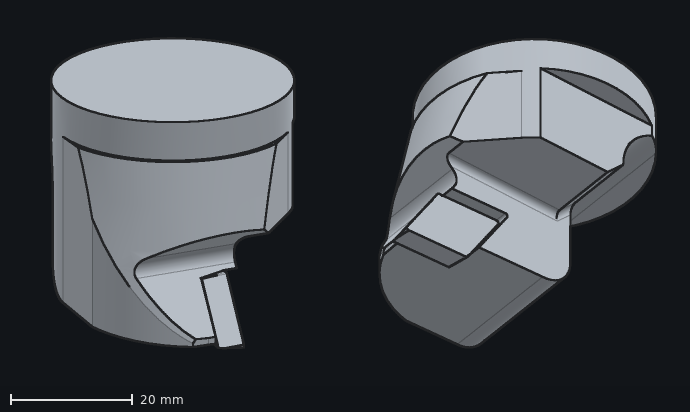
import cadquery as cq
import math

disc_diameter = 40.0
disc_radius = disc_diameter / 2
neck_top_z = -6.7
disc_rim_z = -6.25
disc_left_z = -7.6

wall_x = -5.7
back_y = 16.15
undercut_radius = 10.0
heel_radius = 5.85
bottom_z = -35.75
relief_angle = 3.0
bottom_slope = math.tan(math.radians(relief_angle))
reach = 32.8

cone_top_radius = 20.75
cone_slope = 0.19

flat_end_x = 10.95
nose_mid = (19.5, -15.7)
nose_end = (25.05, -8.45)
nose_side_x = 25.1
nose_side_y = -5.62

step_y = 2.35
step_z = -21.0
step_fillet = 1.25
step_wall_z = -17.7
step_bevel_width = 3.3
notch_diameter = 5.25
notch_radius = notch_diameter / 2
notch_x = 20.9
notch_z = -24.55
notch_upper_angle = 42.0
notch_lower_angle = -57.0

insert_side = 13.12
insert_angle = 55.0
insert_corner_radius = 0.4
insert_thickness = 4.35
insert_clearance = 7.0
insert_right_x = 46.85 - disc_radius
insert_bottom_z = -38.0


def polar(origin, distance, degrees):
    """Point at a distance and direction from an origin."""
    angle = math.radians(degrees)
    return (origin[0] + distance * math.cos(angle), origin[1] + distance * math.sin(angle))


def along_y(outline, y_start, y_end):
    """Extrude a closed XZ outline between two Y positions."""
    return outline.extrude(y_start - y_end).translate((0, y_start, 0))


def make_envelope():
    """Disc cylinder plus the nose, whose flats are tangent to the disc."""
    depth = -insert_bottom_z
    cylinder = cq.Workplane("XY").circle(disc_radius).extrude(-depth)
    diagonal = disc_radius * math.sqrt(2)
    tangent_point = disc_radius / math.sqrt(2)
    nose = (
        cq.Workplane("XY").workplane(offset=neck_top_z)
        .moveTo(0, 0)
        .lineTo(0, -disc_radius)
        .lineTo(flat_end_x, -disc_radius)
        .threePointArc(nose_mid, nose_end)
        .lineTo(nose_side_x, nose_side_y)
        .lineTo(nose_side_x, diagonal - nose_side_x)
        .lineTo(tangent_point, tangent_point)
        .close()
        .extrude(-(depth + neck_top_z))
    )
    cone_height = depth + neck_top_z
    cone = (
        cq.Workplane("XZ")
        .moveTo(0, neck_top_z)
        .lineTo(cone_top_radius, neck_top_z)
        .lineTo(cone_top_radius + cone_slope * cone_height, -depth)
        .lineTo(0, -depth)
        .close()
        .revolve(360, (0, 0), (0, 1))
    )
    return cylinder.union(nose.intersect(cone))


def make_side_profile():
    """Slab that carries the disc, the undercut, the heel and the sloped bottom."""
    sweep_x = wall_x - undercut_radius
    sweep_z = disc_left_z - undercut_radius
    heel_x = wall_x + heel_radius
    heel_z = bottom_z + heel_radius
    outline = (
        cq.Workplane("XZ")
        .moveTo(-reach, 0)
        .lineTo(-reach, disc_left_z)
        .lineTo(sweep_x, disc_left_z)
        .threePointArc(polar((sweep_x, sweep_z), undercut_radius, 45), (wall_x, sweep_z))
        .lineTo(wall_x, heel_z)
        .threePointArc(polar((heel_x, heel_z), heel_radius, 225), (heel_x, bottom_z))
        .lineTo(reach, bottom_z - bottom_slope * (reach - heel_x))
        .lineTo(reach, 0)
        .close()
    )
    return along_y(outline, -reach, reach)


def make_back_cut():
    """Space behind the back wall, below the disc rim."""
    return cq.Workplane("XY").box(2 * reach, reach, 2 * reach, centered=(True, False, False)).translate(
        (0, back_y, disc_rim_z - 2 * reach)
    )


def make_step_cut():
    """Gullet step with a bevelled edge on the left wall and a rounded inner corner."""
    outline = (
        cq.Workplane("XZ")
        .moveTo(-reach, -2 * reach)
        .lineTo(-reach, step_wall_z)
        .lineTo(wall_x, step_wall_z)
        .lineTo(wall_x + step_bevel_width, step_z)
        .lineTo(reach, step_z)
        .lineTo(reach, -2 * reach)
        .close()
    )
    ceiling_edges = cq.selectors.BoxSelector(
        (-2 * reach, step_y - 0.45, step_z - 0.45), (2 * reach, step_y + 0.45, step_wall_z + 0.45)
    )
    return along_y(outline, step_y, reach).edges(ceiling_edges).fillet(step_fillet)


def make_notch_cut():
    """Round-bottomed notch that opens toward +X through the whole nose."""
    centre = (notch_x, notch_z)
    upper = polar(centre, notch_radius, notch_upper_angle + 90)
    lower = polar(centre, notch_radius, notch_lower_angle - 90)
    outline = (
        cq.Workplane("XZ")
        .moveTo(*polar(upper, reach, notch_upper_angle))
        .lineTo(*upper)
        .threePointArc(polar(centre, notch_radius, 180), lower)
        .lineTo(*polar(lower, reach, notch_lower_angle))
        .close()
    )
    return along_y(outline, -reach, reach)


def insert_outline():
    """Rounded rhombus whose rounded tip reaches the right and bottom limits."""
    bottom_direction = 180 - relief_angle
    side_direction = bottom_direction - insert_angle
    bisector = bottom_direction - insert_angle / 2
    tip_centre = (insert_right_x - insert_corner_radius, insert_bottom_z + insert_corner_radius)
    tip_offset = insert_corner_radius / math.sin(math.radians(insert_angle / 2))
    tip = polar(tip_centre, tip_offset, bisector + 180)
    bottom_corner = polar(tip, insert_side, bottom_direction)
    far_corner = polar(bottom_corner, insert_side, side_direction)
    side_corner = polar(tip, insert_side, side_direction)
    sketch = (
        cq.Sketch()
        .polygon([tip, bottom_corner, far_corner, side_corner, tip])
        .vertices()
        .fillet(insert_corner_radius)
    )
    return cq.Workplane("XZ").placeSketch(sketch)


def make_insert():
    """Insert that narrows from the rake face by the clearance angle."""
    return insert_outline().extrude(insert_thickness, taper=insert_clearance)


def make_holder(insert):
    """Disc and shank, with the gullet and the open seat for the insert."""
    holder = make_envelope().intersect(make_side_profile())
    holder = holder.cut(make_back_cut()).cut(make_step_cut()).cut(make_notch_cut())
    space_over_insert = along_y(insert_outline(), 0, reach)
    return holder.cut(insert).cut(space_over_insert).solids()


insert = make_insert()
holder = make_holder(insert)
result = cq.Compound.makeCompound([holder.val(), insert.val()])